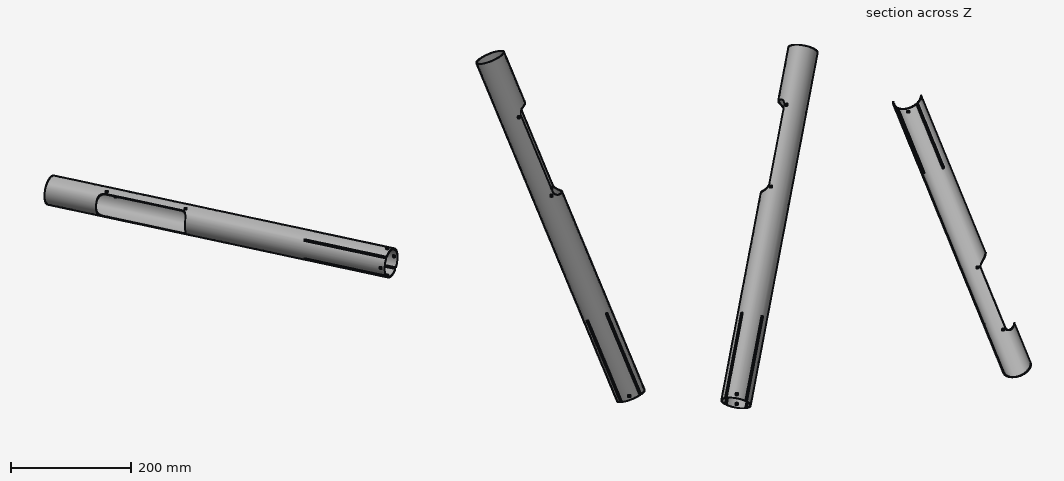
import cadquery as cq

length = 630.0
outer_diameter = 50.0
inner_diameter = 47.0
outer_radius = outer_diameter / 2

window_start = 95.5
window_length = 164.5
window_edge_y = -12.5
window_corner_radius = 12.0
window_center_x = window_start + window_length / 2

screw_diameter = 2.5
countersink_diameter = 5.0
countersink_depth = (countersink_diameter - screw_diameter) / 2

window_screw_xs = (107.25, 253.5)
window_screw_tilt = 20.0
window_screw_angles = (window_screw_tilt, 180 - window_screw_tilt)
back_screw_angle = 270
end_screw_x = length - 7.0
end_screw_angles = (0, 90, 180, 270)

slot_length = 152.0
slot_width = 3.0
slot_angles = (45, 135)


def make_tube():
    return cq.Workplane("YZ").circle(outer_radius).circle(inner_diameter / 2).extrude(length)


def window_cutter():
    """Vertical prism beyond the window edge, its two inner corners rounded."""
    return (
        cq.Workplane("XY")
        .center(window_center_x, window_edge_y - outer_radius)
        .rect(window_length, outer_diameter)
        .extrude(outer_diameter, both=True)
        .edges("|Z and >Y")
        .fillet(window_corner_radius)
    )


def screw_cutter(x, angle):
    """Drill from the tube axis outward, with its countersink at the outer surface."""
    screw_radius = screw_diameter / 2
    countersink_radius = countersink_diameter / 2
    profile = [
        (0, 0),
        (screw_radius, 0),
        (screw_radius, outer_radius - countersink_depth),
        (countersink_radius, outer_radius),
        (countersink_radius, outer_diameter),
        (0, outer_diameter),
    ]
    cutter = cq.Workplane("XZ").polyline(profile).close().revolve(360, (0, 0, 0), (0, 1, 0))
    return cutter.translate((x, 0, 0)).rotate((0, 0, 0), (1, 0, 0), angle)


def slot_cutter(angle):
    """Thin plate through the tube axis, ending flush with the +X end."""
    plate = cq.Workplane("XY").box(slot_length, 2 * outer_diameter, slot_width)
    return plate.translate((length - slot_length / 2, 0, 0)).rotate((0, 0, 0), (1, 0, 0), angle)


result = make_tube().cut(window_cutter())

for screw_x in window_screw_xs:
    for screw_angle in window_screw_angles:
        result = result.cut(screw_cutter(screw_x, screw_angle))
result = result.cut(screw_cutter(window_screw_xs[0], back_screw_angle))

for screw_angle in end_screw_angles:
    result = result.cut(screw_cutter(end_screw_x, screw_angle))

for slot_angle in slot_angles:
    result = result.cut(slot_cutter(slot_angle))